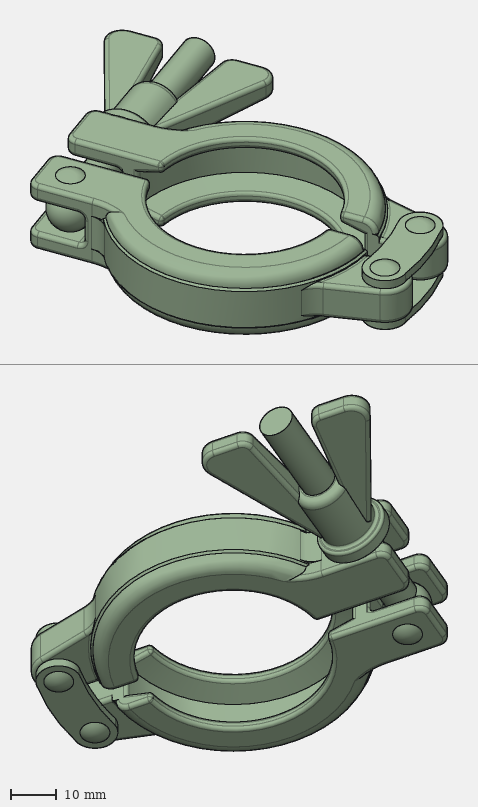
import cadquery as cq
import math


half_gap = 2.9
edge_radius = 1.0
half_height = 8.5
slot_half_height = 4.2
overlap = 1.0
tolerance = 0.01

ring_radius = 31.1
rim_radius = 3.4
band_height = 0.5
band_half_height = 4.8
rim_side_radius = ring_radius - band_height
ring_crown_radius = rim_side_radius - rim_radius
bore_radius = 21.6
bore_edge_radius = 0.9
groove_radius = 27.4
groove_lip_half_height = 6.0
groove_angle = 15.0
groove_floor_half_height = groove_lip_half_height - (
    (groove_radius - bore_radius) * math.tan(math.radians(groove_angle))
)

arm_end_x = -45.0
arm_side_y = 16.0
arm_corner_radius = 2.5
rounding_limit_x = -16.2
crown_tangent_angle = 124.6
arm_blend_radius = 14.6
arm_fillet_radius = 5.1
slot_end_x = -31.3
slot_corner_radius = 1.5

lug_radius = 6.0
hinge_x = 38.0
hinge_y = half_gap + lug_radius
lug_half_height = 4.4
lug_angle = 15.0
lug_flank_start_x = 24.4
lug_fillet_radius = 8.1
link_radius = 5.0
link_thickness = 2.1
link_bow = 0.8

pin_head_radius = 3.2
pin_head_height = 1.1
pin_head_seat = 0.5

bolt_x = -37.7
bolt_radius = 4.0
bolt_end_y = 55.6
ball_y = -9.3
ball_radius = 5.4

collar_radius = 8.1
collar_top_y = 19.2
collar_edge_radius = 0.7
hub_radius = 6.4
hub_top_y = 34.5
hub_edge_radius = 2.0
nose_end_y = 14.7
nose_base_radius = 6.1
nose_end_radius = 5.1
wing_top_y = 54.5
wing_root = (6.1, 20.9)
wing_outer_tip = (22.3, wing_top_y)
wing_inner_tip = (7.5, wing_top_y)
wing_inner_root = (4.6, 33.5)
wing_base_x = hub_radius - 2.0
wing_outer_tip_radius = 4.1
wing_inner_tip_radius = 2.7
wing_tip_half_thickness = 2.1
wing_root_half_thickness = 3.6


def prism(outline, half_depth):
    """Extrude a closed XY outline to both sides of the mid plane."""
    return outline.extrude(half_depth, both=True)


def ring_blank():
    """Disc with rounded rims and a raised middle band, before the bore is cut."""
    rims = (
        cq.Workplane("XY")
        .circle(rim_side_radius)
        .extrude(half_height, both=True)
        .edges()
        .fillet(rim_radius)
    )
    band = (
        cq.Workplane("XY")
        .circle(ring_radius)
        .extrude(band_half_height + band_height, both=True)
        .edges()
        .chamfer(band_height)
    )
    return rims.union(band)


def bore(clearance=0.0):
    """Bore with the wedge-shaped flange groove, optionally enlarged."""
    reach = half_height + overlap
    bore_r = bore_radius + clearance
    groove_r = groove_radius + clearance
    lip_z = groove_lip_half_height + clearance
    floor_z = groove_floor_half_height + clearance
    return (
        cq.Workplane("XZ")
        .polyline([
            (0, -reach),
            (bore_r, -reach),
            (bore_r, -lip_z),
            (groove_r, -floor_z),
            (groove_r, floor_z),
            (bore_r, lip_z),
            (bore_r, reach),
            (0, reach),
        ])
        .close()
        .revolve(360, (0, 0, 0), (0, 1, 0))
    )


def wall_fillet(normal_angle, distance, radius, side, half_depth):
    """Fill the corner between the ring wall and a flat side.

    The flat side lies at the given distance from the ring axis, along a normal at normal_angle.
    The corner is to the left of that normal for side = 1 and to the right for side = -1.
    """
    normal = cq.Vector(math.cos(math.radians(normal_angle)), math.sin(math.radians(normal_angle)))
    along = cq.Vector(-normal.y, normal.x) * side
    shift = math.sqrt((ring_radius + radius) ** 2 - (distance + radius) ** 2)
    centre = normal * (distance + radius) + along * shift
    flat_point = centre - normal * radius
    to_axis = centre.normalized() * -1
    wall_point = centre + to_axis * radius
    arc_point = centre + (to_axis - normal).normalized() * radius
    root = wall_point * (1 - 2 * overlap / ring_radius)
    outline = (
        cq.Workplane("XY")
        .moveTo(flat_point.x, flat_point.y)
        .threePointArc((arc_point.x, arc_point.y), (wall_point.x, wall_point.y))
        .lineTo(root.x, root.y)
        .lineTo(flat_point.x - normal.x * overlap, flat_point.y - normal.y * overlap)
        .close()
    )
    return prism(outline, half_depth)


def fork_slot():
    """Slot that lets the bolt swing, open at the arm's free end."""
    start_x = arm_end_x - overlap
    length_x = slot_end_x - start_x
    length_y = arm_side_y + overlap
    return (
        cq.Workplane("XY")
        .box(length_x, length_y, 2 * slot_half_height, centered=(False, False, True))
        .edges("|Y and >X")
        .fillet(slot_corner_radius)
        .translate((start_x, half_gap - overlap, 0))
    )


def arm():
    """Full-height fork arm whose outline leaves the ring crown along a tangent."""
    angle = math.radians(crown_tangent_angle)
    crown_point = (ring_crown_radius * math.cos(angle), ring_crown_radius * math.sin(angle))
    bend_x = (ring_crown_radius - arm_side_y * math.sin(angle)) / math.cos(angle)
    outline = (
        cq.Workplane("XY")
        .moveTo(0, half_gap)
        .lineTo(arm_end_x, half_gap)
        .lineTo(arm_end_x, arm_side_y)
        .lineTo(bend_x, arm_side_y)
        .lineTo(*crown_point)
        .close()
    )
    body = prism(outline, half_height)
    body = body.edges("|Z and <X").fillet(arm_corner_radius)
    body = body.edges(cq.NearestToPointSelector((bend_x, arm_side_y, 0))).fillet(arm_blend_radius)
    body = body.cut(fork_slot())

    seam_x = slot_end_x - slot_corner_radius
    rims = [
        edge for edge in body.faces("|Z").edges().vals()
        if edge.Center().x < rounding_limit_x and abs(edge.Center().x - seam_x) > tolerance
    ]
    body = body.newObject(rims).fillet(edge_radius)
    return body.cut(bore(edge_radius))


def lug():
    """Hinge lug: a round end joined to the ring by a sloped flank."""
    normal_angle = 90 - lug_angle
    normal = (math.cos(math.radians(normal_angle)), math.sin(math.radians(normal_angle)))
    flank_distance = hinge_x * normal[0] + hinge_y * normal[1] + lug_radius
    flank_end = (hinge_x + lug_radius * normal[0], hinge_y + lug_radius * normal[1])
    flank_start_y = (flank_distance - lug_flank_start_x * normal[0]) / normal[1]
    outline = (
        cq.Workplane("XY")
        .moveTo(groove_radius + edge_radius, half_gap)
        .lineTo(hinge_x, half_gap)
        .threePointArc((hinge_x + lug_radius, hinge_y), flank_end)
        .lineTo(lug_flank_start_x, flank_start_y)
        .close()
    )
    body = prism(outline, lug_half_height)
    fillet_block = wall_fillet(normal_angle, flank_distance, lug_fillet_radius, -1, lug_half_height)
    body = body.union(fillet_block)
    rims = [
        edge for edge in body.faces("|Z").edges().vals()
        if math.hypot(edge.Center().x, edge.Center().y) > rim_side_radius
    ]
    return body.newObject(rims).fillet(edge_radius)


def ring_half():
    """Half of the ring, with rounded end faces on both sides of the gap."""
    reach = 2 * ring_radius
    keep = cq.Workplane("XY").box(2 * reach, reach, reach, centered=(True, False, True))
    half = ring_blank().cut(bore()).intersect(keep.translate((0, half_gap, 0)))
    end_edges = [
        edge for edge in half.faces("<Y").edges().vals()
        if abs(edge.Center().x) < groove_radius
    ]
    half = half.newObject(end_edges).fillet(edge_radius)
    bore_rims = [
        edge for edge in half.edges("%CIRCLE").vals()
        if abs(edge.radius() - bore_radius) < tolerance
    ]
    return half.newObject(bore_rims).fillet(bore_edge_radius)


def lug_weld(lug_body):
    """Concave fillets between the ring rims and the flat faces of a lug."""
    outer_radius = rim_side_radius + edge_radius
    top_z = lug_half_height + edge_radius
    arc_offset = edge_radius * (1 - math.sqrt(0.5))
    swept = (
        cq.Workplane("XZ")
        .moveTo(groove_radius + edge_radius, lug_half_height)
        .lineTo(outer_radius, lug_half_height)
        .threePointArc(
            (rim_side_radius + arc_offset, lug_half_height + arc_offset),
            (rim_side_radius, top_z),
        )
        .lineTo(groove_radius + edge_radius, top_z)
        .close()
        .revolve(360, (0, 0, 0), (0, 1, 0))
    )
    weld = lug_body.faces(">Z").wires().toPending().extrude(edge_radius).intersect(swept)
    return weld.union(weld.mirror("XY"))


def clamp_half():
    """Half ring with its fork arm and hinge lug, on the +Y side of the gap."""
    corner_block = wall_fillet(90, arm_side_y, arm_fillet_radius, 1, lug_half_height)
    lug_body = lug()
    half = ring_half().union(arm()).union(corner_block)
    return half.union(lug_body).union(lug_weld(lug_body))


def pin_head(x, y, base_z):
    """Shallow domed head standing on a flat face, mirrored about the mid plane."""
    dome_radius = (pin_head_radius ** 2 + pin_head_height ** 2) / (2 * pin_head_height)
    dome = cq.Workplane("XY").sphere(dome_radius).translate((0, 0, pin_head_height - dome_radius))
    head = (
        cq.Workplane("XY")
        .circle(pin_head_radius)
        .extrude(pin_head_height + pin_head_seat)
        .translate((0, 0, -pin_head_seat))
        .intersect(dome)
        .translate((x, y, base_z))
    )
    return head.union(head.mirror("XY"))


def link_plates():
    """Pair of bowed link plates on the outer faces of the lugs."""
    inner_x = hinge_x - link_radius
    outer_x = hinge_x + link_radius
    plate = (
        cq.Workplane("XY")
        .workplane(offset=lug_half_height)
        .moveTo(inner_x, -hinge_y)
        .threePointArc((inner_x + link_bow, 0), (inner_x, hinge_y))
        .threePointArc((hinge_x, hinge_y + link_radius), (outer_x, hinge_y))
        .threePointArc((outer_x + link_bow, 0), (outer_x, -hinge_y))
        .threePointArc((hinge_x, -hinge_y - link_radius), (inner_x, -hinge_y))
        .close()
        .extrude(link_thickness)
    )
    return plate.union(plate.mirror("XY"))


def nut_core():
    """Solid of revolution of the nut: tapered nose, collar and hub."""
    reach = 2 * collar_radius
    collar_top = cq.selectors.BoxSelector(
        (-reach, collar_top_y - tolerance, -reach),
        (reach, collar_top_y + tolerance, reach),
    )
    return (
        cq.Workplane("XY")
        .polyline([
            (0, nose_end_y),
            (nose_end_radius, nose_end_y),
            (nose_base_radius, arm_side_y),
            (collar_radius, arm_side_y),
            (collar_radius, collar_top_y),
            (hub_radius, collar_top_y),
            (hub_radius, hub_top_y),
            (0, hub_top_y),
        ])
        .close()
        .revolve(360, (0, 0, 0), (0, 1, 0))
        .edges(collar_top)
        .fillet(collar_edge_radius)
        .edges(">Y")
        .fillet(hub_edge_radius)
        .translate((bolt_x, 0, 0))
    )


def wing():
    """One wing on the +X side of the bolt axis, thinner towards its tip."""
    plan = (
        cq.Workplane("XY")
        .polyline([
            (wing_base_x, wing_root[1]),
            wing_root,
            wing_outer_tip,
            wing_inner_tip,
            wing_inner_root,
        ])
        .close()
        .extrude(hub_radius, both=True)
        .edges(cq.NearestToPointSelector((*wing_outer_tip, 0)))
        .fillet(wing_outer_tip_radius)
        .edges(cq.NearestToPointSelector((*wing_inner_tip, 0)))
        .fillet(wing_inner_tip_radius)
    )
    wedge = (
        cq.Workplane("YZ")
        .polyline([
            (wing_root[1], -wing_root_half_thickness),
            (wing_top_y, -wing_tip_half_thickness),
            (wing_top_y, wing_tip_half_thickness),
            (wing_root[1], wing_root_half_thickness),
        ])
        .close()
        .extrude(2 * wing_outer_tip[0])
    )
    body = plan.intersect(wedge)
    return body.faces("<Z or >Z").edges().fillet(edge_radius)


def make_frame():
    """Clamp frame: both halves with their hinge link and pin heads."""
    half = clamp_half()
    frame = half.union(half.mirror("XZ")).union(link_plates())
    for y in (hinge_y, -hinge_y):
        frame = frame.union(pin_head(hinge_x, y, lug_half_height + link_thickness))
    frame = frame.union(pin_head(bolt_x, ball_y, half_height))
    return frame.cut(nut_core())


def make_bolt():
    """Swing bolt: a rod ending in a ball with flats against the fork cheeks."""
    rod = (
        cq.Workplane("XZ", origin=(bolt_x, ball_y, 0))
        .circle(bolt_radius)
        .extrude(ball_y - bolt_end_y)
    )
    ball = cq.Workplane("XY").sphere(ball_radius)
    flats = cq.Workplane("XY").box(2 * ball_radius, 2 * ball_radius, 2 * slot_half_height)
    return rod.union(ball.intersect(flats).translate((bolt_x, ball_y, 0)))


def make_nut():
    """Wing nut: the turned core with two wings and the bolt hole."""
    right_wing = wing()
    wings = right_wing.union(right_wing.mirror("YZ")).translate((bolt_x, 0, 0))
    bolt_hole = (
        cq.Workplane("XZ", origin=(bolt_x, 0, 0)).circle(bolt_radius).extrude(-bolt_end_y)
    )
    return nut_core().union(wings).cut(bolt_hole)


frame = make_frame()
bolt = make_bolt()
nut = make_nut()

result = cq.Compound.makeCompound([frame.val(), bolt.val(), nut.val()])